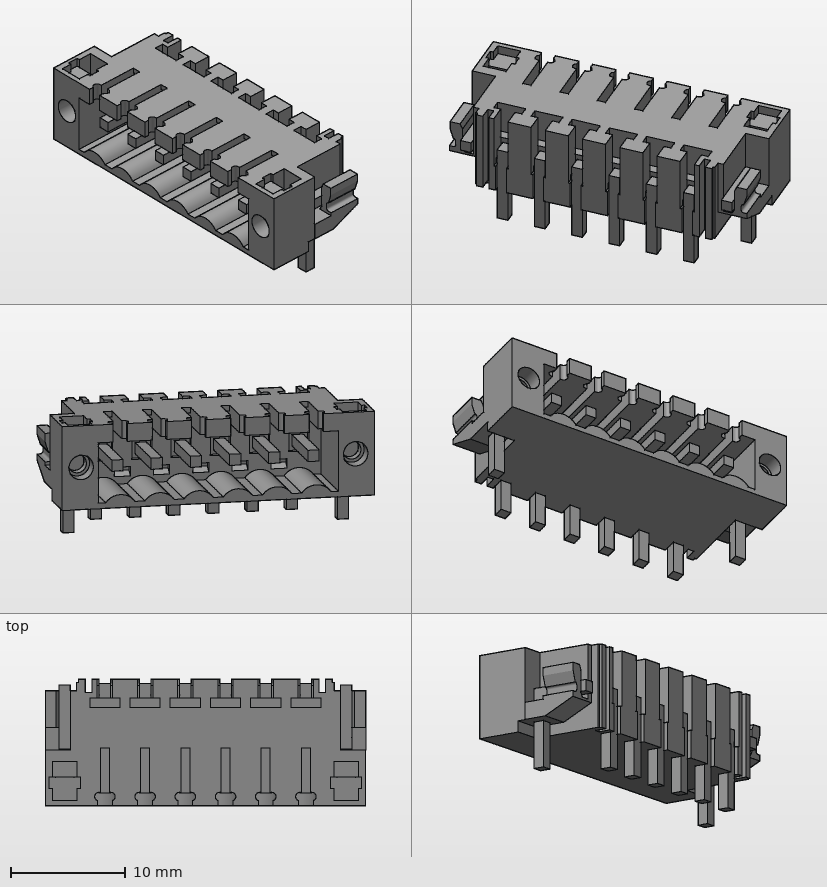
import cadquery as cq
import math


contact_count = 6
hold_down_spacing = 24.5
pitch = hold_down_spacing / (contact_count + 1)
pin_size = 1.0
pin_axis_z = 3.52
pin_bottom = pin_axis_z - pin_size / 2
pin_top = pin_axis_z + pin_size / 2
leg_end_z = -3.15
contact_tip_y = 1.15
contact_rear_y = 10.68
hold_down_front_y = 4.98
hold_down_rear_y = 10.55
contact_xs = [(i - (contact_count - 1) / 2) * pitch for i in range(contact_count)]
hold_down_x = hold_down_spacing / 2

half_width = 13.95
height = 7.5
depth = 11.05
rear_step = 0.28
rear_half_width = 11.24
rear_inset = 0.17
shoulder_half_width = hold_down_x - pin_size / 2
shoulder_rear_y = 10.03

flange_depth = 4.9
notch_front_y = 4.15
notch_height = 1.0
screw_axis_z = 3.77
screw_counterbore_radius = 1.1
screw_hole_radius = 0.8
pocket_width = 2.15
nut_width = 2.7
pocket_front_y = 0.48
nut_front_y = 1.5
nut_rear_y = 2.52
pocket_rear_y = 3.85
pocket_shelf_z = 6.68
pocket_floor_z = 2.55

cavity_width = 21.45
cavity_floor = 0.5
cavity_ceiling = 5.9
cavity_rear_y = 7.0
ridge_half_width = 1.3
ridge_rise = 0.67
recess_size = 1.8
recess_depth = 0.5
window_width = 1.43
window_bottom = 1.17
window_sill_rear_z = 1.6
window_top = 2.0
window_depth = 0.55

slot_width = 0.78
slot_rear_y = 5.03
slot_groove_top = 7.0
keyhole_length = 1.8
keyhole_diameter = 0.73
keyhole_axis_y = 0.8
keyhole_mouth_width = 1.29

rear_gap_width = 1.35
rear_gap_front_y = 9.42
rear_gap_step_y = 10.48
rear_gap_step_drop = 0.5
cross_slot_width = 2.63
cross_slot_front_y = 8.55
cross_slot_floor = 4.53
side_slot_inner_x = 9.9
side_slot_outer_x = 10.45
side_slot_front_y = 9.9

right_plate_overhang = 0.05
plate_top = 2.55
plate_slope_front_y = 7.07
plate_slope_rear_z = 2.32
arm_front_y = 6.82
arm_top = 5.4
arm_thickness = 1.17
arm_chamfer_width = 0.22
arm_chamfer_height = 0.48
arm_foot_width = 0.22
arm_foot_height = 0.35
hook_bottom = 4.65
groove_depth = 0.53
groove_top = 3.7
groove_fillet = 0.22
lip_z = 2.85


def block(x_range, y_range, z_range):
    """Box between the given limits."""
    size = [high - low for low, high in (x_range, y_range, z_range)]
    corner = (x_range[0], y_range[0], z_range[0])
    return cq.Workplane("XY").box(*size, centered=False).translate(corner)


def centred_block(x_centre, width, y_range, z_range):
    """Box symmetric about a plane of constant X."""
    return block((x_centre - width / 2, x_centre + width / 2), y_range, z_range)


def side_prism(points, x_range):
    """Y-Z outline extruded along X."""
    start, end = x_range
    return cq.Workplane("YZ").workplane(offset=start).polyline(points).close().extrude(end - start)


def mirrored(left_feature):
    """A left-hand feature together with its right-hand mirror image."""
    return left_feature.union(left_feature.mirror("YZ"))


def angled_pin(x, front_y, rear_y, leg_front_y):
    """Square bar along Y with a leg going down to the board."""
    bar = centred_block(x, pin_size, (front_y, rear_y), (pin_bottom, pin_top))
    leg = centred_block(x, pin_size, (leg_front_y, leg_front_y + pin_size), (leg_end_z, pin_top))
    return bar.union(leg)


def contact_pin(x):
    """Contact whose leg drops from the rear end of its bar."""
    return angled_pin(x, contact_tip_y, contact_rear_y, contact_rear_y - pin_size)


def hold_down_pin(x):
    """Hold-down whose leg drops from the front end of its bar."""
    return angled_pin(x, hold_down_front_y, hold_down_rear_y, hold_down_front_y)


def body_blank():
    """Core with its stepped rear, the wider shoulder above the latches and the flange blocks."""
    core = centred_block(0, 2 * rear_half_width, (0, depth - rear_step), (0, height))
    rear = centred_block(0, 2 * (rear_half_width - rear_inset), (0, depth), (0, height))
    shoulder = side_prism(
        [
            (notch_front_y, notch_height),
            (plate_slope_front_y, notch_height),
            (shoulder_rear_y, plate_slope_rear_z),
            (shoulder_rear_y, height),
            (notch_front_y, height),
        ],
        (-shoulder_half_width, shoulder_half_width),
    )
    flange = block((-half_width, -rear_half_width), (0, flange_depth), (0, height))
    notch = block((-half_width, -rear_half_width), (notch_front_y, flange_depth), (0, notch_height))
    return core.union(rear).union(shoulder).union(mirrored(flange.cut(notch)))


def left_latch(plate_overhang):
    """Sloped plate beside the body, carrying an upright arm with a hooked outer face."""
    outer = -half_width
    inner = -shoulder_half_width
    plate_outer = outer - plate_overhang
    arm_inner = outer + arm_thickness
    groove_x = outer + groove_depth
    fillet_offset = groove_fillet * (1 - math.sqrt(0.5))
    fillet_edge = groove_x - groove_fillet
    fillet_mid = groove_x - fillet_offset
    arm_section = (
        cq.Workplane("XZ")
        .moveTo(plate_outer, notch_height)
        .lineTo(plate_outer, lip_z)
        .lineTo(fillet_edge, lip_z)
        .threePointArc((fillet_mid, lip_z + fillet_offset), (groove_x, lip_z + groove_fillet))
        .lineTo(groove_x, groove_top - groove_fillet)
        .threePointArc((fillet_mid, groove_top - fillet_offset), (fillet_edge, groove_top))
        .lineTo(outer, hook_bottom)
        .lineTo(outer, arm_top)
        .lineTo(arm_inner - arm_chamfer_width, arm_top)
        .lineTo(arm_inner, arm_top - arm_chamfer_height)
        .lineTo(arm_inner, plate_top + arm_foot_height)
        .lineTo(arm_inner + arm_foot_width, plate_top)
        .lineTo(inner, plate_top)
        .lineTo(inner, notch_height)
        .close()
        .extrude(-depth)
    )
    side_outline = side_prism(
        [
            (flange_depth, notch_height),
            (plate_slope_front_y, notch_height),
            (shoulder_rear_y, plate_slope_rear_z),
            (shoulder_rear_y, arm_top),
            (arm_front_y, arm_top),
            (arm_front_y, plate_top),
            (flange_depth, plate_top),
        ],
        (plate_outer, inner),
    )
    return arm_section.intersect(side_outline)


def mating_cavity():
    """Front opening, less a rounded ridge on the floor below each contact."""
    cavity = centred_block(0, cavity_width, (0, cavity_rear_y), (cavity_floor, cavity_ceiling))
    for x in contact_xs:
        ridge = (
            cq.Workplane("XZ")
            .moveTo(x - ridge_half_width, cavity_floor)
            .threePointArc((x, cavity_floor + ridge_rise), (x + ridge_half_width, cavity_floor))
            .close()
            .extrude(-cavity_rear_y)
        )
        cavity = cavity.cut(ridge)
    return cavity


def contact_recess(x):
    """Square recess around a contact in the rear wall of the cavity."""
    return centred_block(
        x,
        recess_size,
        (cavity_rear_y, cavity_rear_y + recess_depth),
        (pin_axis_z - recess_size / 2, pin_axis_z + recess_size / 2),
    )


def window(x):
    """Shallow window with a sloping sill in the rear wall, midway between two contacts."""
    rear_y = cavity_rear_y + window_depth
    return side_prism(
        [
            (cavity_rear_y, window_bottom),
            (rear_y, window_sill_rear_z),
            (rear_y, window_top),
            (cavity_rear_y, window_top),
        ],
        (x - window_width / 2, x + window_width / 2),
    )


def coding_slot(x):
    """Slot through the ceiling with a round-ended keyhole and a wider mouth."""
    ceiling = (cavity_ceiling, height)
    slot = centred_block(x, slot_width, (0, slot_rear_y), ceiling)
    groove = centred_block(x, slot_width, (0, cavity_rear_y), (cavity_ceiling, slot_groove_top))
    mouth = centred_block(x, keyhole_mouth_width, (0, keyhole_axis_y), ceiling)
    keyhole = (
        cq.Workplane("XY", origin=(x, keyhole_axis_y, cavity_ceiling))
        .slot2D(keyhole_length, keyhole_diameter)
        .extrude(height - cavity_ceiling)
    )
    return slot.union(groove).union(mouth).union(keyhole)


def rear_opening(x):
    """Open rear gap and cross slot above a contact, with a slot below for its leg."""
    gap = centred_block(x, rear_gap_width, (rear_gap_front_y, depth), (pin_bottom, height))
    gap_step = centred_block(
        x, rear_gap_width, (rear_gap_step_y, depth), (pin_bottom - rear_gap_step_drop, pin_bottom)
    )
    leg_slot = centred_block(x, pin_size, (contact_rear_y - pin_size, depth), (0, pin_bottom))
    cross_slot = centred_block(
        x, cross_slot_width, (cross_slot_front_y, rear_gap_front_y), (cross_slot_floor, height)
    )
    return gap.union(gap_step).union(leg_slot).union(cross_slot)


def left_screw_mount():
    """Counterbored screw hole running into a nut pocket that opens at the top of the flange."""
    shelf = (pocket_shelf_z, height)
    front = centred_block(-hold_down_x, pocket_width, (pocket_front_y, nut_rear_y), shelf)
    nut = centred_block(-hold_down_x, nut_width, (nut_front_y, nut_rear_y), shelf)
    well = centred_block(
        -hold_down_x, pocket_width, (nut_rear_y, pocket_rear_y), (pocket_floor_z, height)
    )
    hole_plane = cq.Workplane("XZ", origin=(-hold_down_x, 0, screw_axis_z))
    counterbore = hole_plane.circle(screw_counterbore_radius).extrude(-nut_front_y)
    hole = hole_plane.circle(screw_hole_radius).extrude(-nut_rear_y)
    return front.union(nut).union(well).union(counterbore).union(hole)


def left_side_slot():
    """Open slot through the full height at the rear corner."""
    return block((-side_slot_outer_x, -side_slot_inner_x), (side_slot_front_y, depth), (0, height))


def make_housing(pins):
    """Complete housing with a close-fitting seat for every pin."""
    housing = body_blank()
    housing = housing.union(left_latch(0))
    housing = housing.union(left_latch(right_plate_overhang).mirror("YZ"))
    housing = housing.cut(mating_cavity())
    housing = housing.cut(mirrored(left_screw_mount()))
    housing = housing.cut(mirrored(left_side_slot()))
    for x in contact_xs:
        housing = housing.cut(contact_recess(x)).cut(coding_slot(x)).cut(rear_opening(x))
    for x in contact_xs[:-1]:
        housing = housing.cut(window(x + pitch / 2))
    for pin in pins:
        housing = housing.cut(pin)
    return housing


contact_pins = [contact_pin(x) for x in contact_xs]
hold_down_pins = [hold_down_pin(x) for x in (-hold_down_x, hold_down_x)]
housing = make_housing(contact_pins + hold_down_pins)

result = cq.Compound.makeCompound(
    [
        housing.solids().val(),
        *[pin.val() for pin in contact_pins],
        *[pin.val() for pin in hold_down_pins],
    ]
)